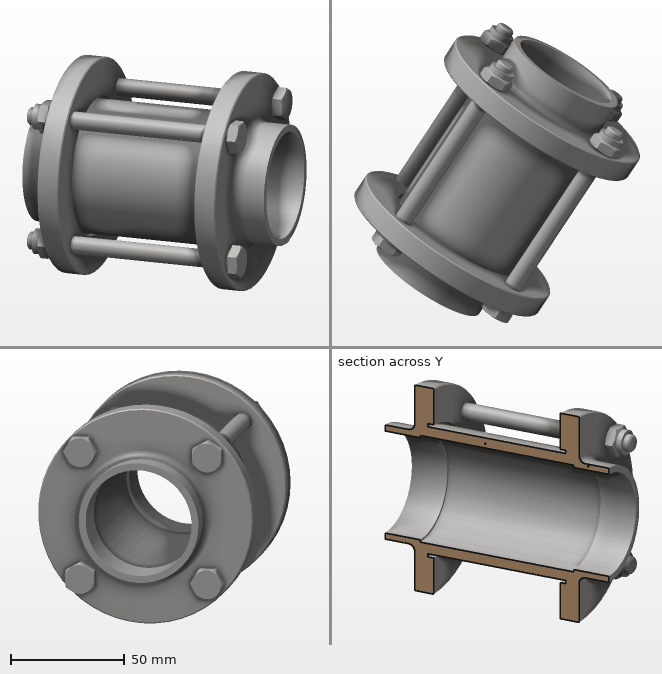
import math
import cadquery as cq

overall_length = 114.0
neck_length = 15.0
flange_thickness = 10.0
flange_outer_x = overall_length / 2 - neck_length
flange_inner_x = flange_outer_x - flange_thickness

flange_diameter = 97.0
flange_edge_chamfer = 0.5
neck_diameter = 54.0
neck_bore_diameter = 47.8
neck_fillet_radius = 3.0

sleeve_outer_diameter = 60.0
sleeve_bore_diameter = 50.0
seat_depth = 7.0
recess_diameter = 62.5
recess_depth = 3.0
sleeve_half_length = flange_inner_x + seat_depth

bolt_circle_diameter = 81.0
bolt_count = 4
first_bolt_angle = 45.0
bolt_hole_diameter = 8.5
bolt_diameter = 8.0
bolt_length = 95.0
bolt_tip_diameter = 6.5
bolt_tip_chamfer = (bolt_diameter - bolt_tip_diameter) / 2
hex_across_flats = 13.0
hex_across_corners = hex_across_flats / math.cos(math.radians(30))
hex_chamfer_angle = 30.0
head_height = 5.3
head_washer_diameter = 11.6
head_washer_thickness = 0.8

nut_height = 8.0
nut_hex_height = 5.4
nut_collar_diameter = 11.4
nut_seat_diameter = 11.6


def cylinder(diameter, x_start, x_end):
    """Cylinder on the X axis."""
    return cq.Workplane("YZ", origin=(x_start, 0, 0)).circle(diameter / 2).extrude(x_end - x_start)


def chamfer_cone(x_end, direction, length, end_diameter):
    """Solid of revolution that trims hex corners at the end x_end of a hexagon.

    direction is the sign of X from the body of the hexagon towards that end, and
    end_diameter is the circle left flat there.
    """
    end_radius = end_diameter / 2
    x_base = x_end - direction * length
    base_radius = end_radius + length / math.tan(math.radians(hex_chamfer_angle))
    outline = [(x_base, 0), (x_base, base_radius), (x_end, end_radius), (x_end, 0)]
    return cq.Workplane("XY").polyline(outline).close().revolve(360, (0, 0, 0), (1, 0, 0))


def hexagon(x_start, x_end):
    """Hexagonal prism on the X axis with two corners on the Y axis."""
    plane = cq.Workplane("YZ", origin=(x_start, 0, 0))
    return plane.polygon(6, hex_across_corners).extrude(x_end - x_start)


def make_flange():
    """Flange on the +X side: disc, filleted neck, bore, sleeve seat, recess and bolt holes."""
    neck_end_x = overall_length / 2
    disc = cylinder(flange_diameter, flange_inner_x, flange_outer_x).edges().chamfer(flange_edge_chamfer)
    neck_radius = neck_diameter / 2
    fillet_end_x = flange_outer_x + neck_fillet_radius
    fillet_middle = neck_fillet_radius * (1 - math.sqrt(0.5))
    neck = (
        cq.Workplane("XY")
        .moveTo(flange_inner_x, 0)
        .lineTo(flange_inner_x, neck_radius + neck_fillet_radius)
        .lineTo(flange_outer_x, neck_radius + neck_fillet_radius)
        .threePointArc(
            (flange_outer_x + fillet_middle, neck_radius + fillet_middle),
            (fillet_end_x, neck_radius),
        )
        .lineTo(neck_end_x, neck_radius)
        .lineTo(neck_end_x, 0)
        .close()
        .revolve(360, (0, 0, 0), (1, 0, 0))
    )
    bolt_holes = (
        cq.Workplane("YZ", origin=(flange_inner_x, 0, 0))
        .polarArray(bolt_circle_diameter / 2, first_bolt_angle, 360, bolt_count)
        .circle(bolt_hole_diameter / 2)
        .extrude(flange_thickness)
    )
    return (
        disc.union(neck)
        .cut(cylinder(neck_bore_diameter, flange_inner_x, neck_end_x))
        .cut(cylinder(sleeve_outer_diameter, flange_inner_x, sleeve_half_length))
        .cut(cylinder(recess_diameter, flange_inner_x, flange_inner_x + recess_depth))
        .cut(bolt_holes)
    )


def make_sleeve():
    """Tube reaching the seat floor of both flanges."""
    tube = cylinder(sleeve_outer_diameter, -sleeve_half_length, sleeve_half_length)
    return tube.cut(cylinder(sleeve_bore_diameter, -sleeve_half_length, sleeve_half_length))


def make_bolt():
    """Hex bolt on the X axis, its head resting on the +X flange."""
    washer_end_x = flange_outer_x + head_washer_thickness
    head_end_x = flange_outer_x + head_height
    shank = cylinder(bolt_diameter, flange_outer_x - bolt_length, washer_end_x)
    shank = shank.faces("<X").chamfer(bolt_tip_chamfer)
    washer_face = cylinder(head_washer_diameter, flange_outer_x, washer_end_x)
    head = hexagon(washer_end_x, head_end_x)
    head = head.intersect(chamfer_cone(head_end_x, 1, head_end_x - washer_end_x, hex_across_flats))
    return head.union(washer_face).union(shank)


def make_nut():
    """Lock nut on the X axis, resting on the -X flange."""
    seat_x = -flange_outer_x
    hex_end_x = seat_x - nut_hex_height
    body = hexagon(hex_end_x, seat_x)
    body = body.intersect(chamfer_cone(seat_x, 1, nut_hex_height, nut_seat_diameter))
    body = body.intersect(chamfer_cone(hex_end_x, -1, nut_hex_height, nut_collar_diameter))
    return body.union(cylinder(nut_collar_diameter, seat_x - nut_height, hex_end_x))


flange = make_flange()
result = flange.union(flange.mirror("YZ")).union(make_sleeve())

bolt = make_bolt()
nut = make_nut()
for index in range(bolt_count):
    angle = first_bolt_angle + index * 360 / bolt_count
    offset_y = bolt_circle_diameter / 2 * math.cos(math.radians(angle))
    offset_z = bolt_circle_diameter / 2 * math.sin(math.radians(angle))
    head_turn = angle + first_bolt_angle
    turned_bolt = bolt.rotate((0, 0, 0), (1, 0, 0), head_turn)
    fastener = turned_bolt.union(nut).translate((0, offset_y, offset_z))
    result = result.union(fastener)